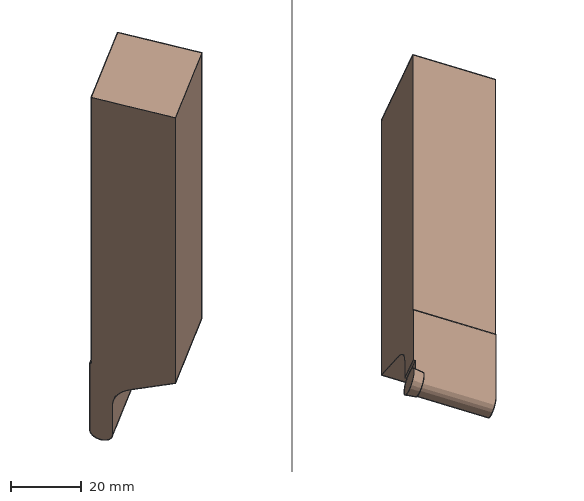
import cadquery as cq
import math

total_height = 151.4
shank_width = 25.0

insert_diameter = 8.0
insert_thickness = 3.2
insert_relief_angle = 7.0
insert_overhang = 1.0
insert_radius = insert_diameter / 2
insert_base_radius = insert_radius - insert_thickness * math.tan(math.radians(insert_relief_angle))
insert_x = insert_radius - insert_overhang
insert_z = insert_radius

neck_width = 6.8
neck_radius = neck_width / 2
neck_left = insert_x - neck_radius
neck_right = insert_x + neck_radius
shoulder_z = 33.6
step_z = 33.1
step_radius = -neck_left
shoulder_angle = 30.0
shoulder_fillet = 10.0
shoulder_root_z = shoulder_z - (shank_width - neck_right) * math.tan(math.radians(shoulder_angle))

recess_depth = 0.6
recess_top_z = 9.8


def make_insert():
    """Tapered disc with its axis along Y and its top face flush with the shank."""
    return (
        cq.Workplane("XZ", origin=(insert_x, shank_width, insert_z))
        .circle(insert_radius)
        .workplane(offset=insert_thickness)
        .circle(insert_base_radius)
        .loft(ruled=True)
    )


def make_holder_blank():
    """Shank and neck profile in XZ, extruded over the full width in Y."""
    return (
        cq.Workplane("XZ", origin=(0, shank_width, 0))
        .moveTo(0, total_height)
        .lineTo(shank_width, total_height)
        .lineTo(shank_width, shoulder_z)
        .lineTo(neck_right, shoulder_root_z)
        .lineTo(neck_right, insert_z)
        .threePointArc((insert_x, insert_z - neck_radius), (neck_left, insert_z))
        .lineTo(neck_left, step_z)
        .radiusArc((0, step_z + step_radius), -step_radius)
        .close()
        .extrude(shank_width)
    )


def make_recess():
    """Block that lowers the +Y face of the neck around the insert."""
    return cq.Workplane("XY").box(neck_width, recess_depth, recess_top_z, centered=False).translate(
        (neck_left, shank_width - recess_depth, 0)
    )


def make_holder():
    """Holder with the shoulder fillet, the recess and the seat for the insert."""
    root_edge = cq.selectors.NearestToPointSelector((neck_right, shank_width / 2, shoulder_root_z))
    filleted = make_holder_blank().edges(root_edge).fillet(shoulder_fillet)
    return filleted.cut(make_recess()).cut(make_insert())


insert = make_insert()
holder = make_holder()

result = cq.Compound.makeCompound([holder.val(), insert.val()])